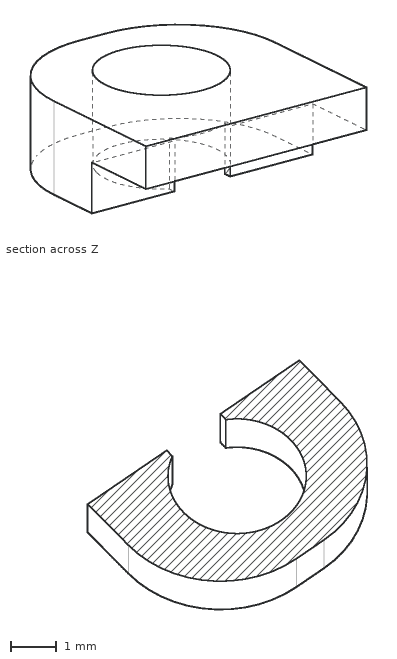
import cadquery as cq

length = 6.01
width = 6.0
height = 2.2
plate_thickness = 1.005
corner_radius = 2.61
hole_diameter = 3.02
hole_center_x = 2.51

body_length = hole_center_x + hole_diameter / 2
body_height = height - plate_thickness
opening_width = hole_diameter / 2


def rounded_block(block_length, block_height, base_z):
    """Block starting at X = 0, with its two -X vertical edges rounded."""
    return (
        cq.Workplane("XY")
        .workplane(offset=base_z)
        .box(block_length, width, block_height, centered=(False, True, False))
        .edges("|Z and <X")
        .fillet(corner_radius)
    )


lower_body = rounded_block(body_length, body_height, 0)
top_plate = rounded_block(length, plate_thickness, body_height)

hole = (
    cq.Workplane("XY")
    .center(hole_center_x, 0)
    .circle(hole_diameter / 2)
    .extrude(height)
)

opening = (
    cq.Workplane("XY")
    .center(hole_center_x, 0)
    .box(body_length - hole_center_x, opening_width, body_height, centered=(False, True, False))
)

result = lower_body.cut(opening).union(top_plate).cut(hole)